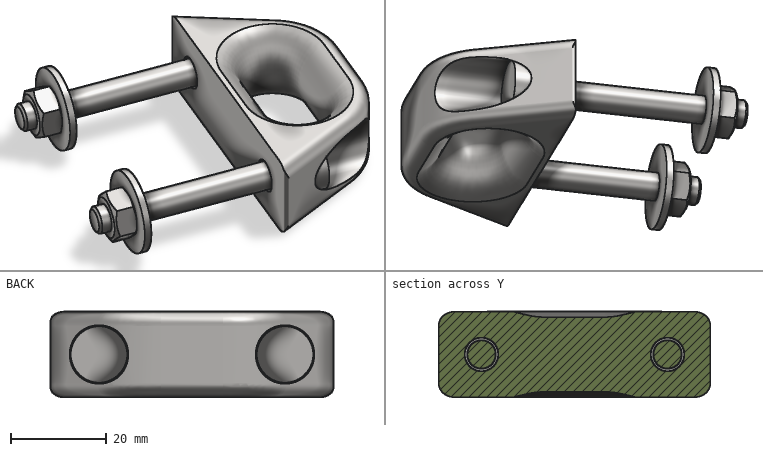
import cadquery as cq
import math

thickness = 18.0
body_height = 28.1
arc_center_x = 6.45
arc_center_y = 13.05
outer_radius = body_height - arc_center_y
flank_lean = math.radians(27.3)
edge_fillet = 3.0
toe_radius = 0.7

throat_radius = 6.05
flare_width = 5.7

bolt_x = 19.5
bolt_diameter = 6.0
bolt_end_y = body_height - 67.2
bolt_end_chamfer = 0.55
bolt_hole_diameter = 7.0
head_diameter = 11.8
head_top_y = 12.1
head_height = 6.0
seat_y = head_top_y - head_height
counterbore_diameter = 12.3

washer_diameter = 18.0
washer_top_y = -30.0
washer_thickness = 1.55
washer_bottom_y = washer_top_y - washer_thickness
nut_height = 4.9
nut_across_flats = 10.0
nut_across_corners = nut_across_flats / math.cos(math.radians(30))
nut_inner_face_diameter = 9.9
nut_outer_face_diameter = 8.9
nut_chamfer_angle = math.radians(30)
left_nut_angle = 35.5
right_nut_angle = 47


def cylinder(x, bottom_y, top_y, diameter):
    """Cylinder along Y, centred on z = 0."""
    base = cq.Workplane("XZ", origin=(x, top_y, 0))
    return base.circle(diameter / 2).extrude(top_y - bottom_y)


def body_prism():
    """Trapezoid with a rounded top; its flanks are tangent to the two arcs."""
    tangent_x = arc_center_x + outer_radius * math.cos(flank_lean)
    tangent_y = arc_center_y + outer_radius * math.sin(flank_lean)
    base_x = tangent_x + tangent_y * math.tan(flank_lean)
    middle_angle = (flank_lean + math.pi / 2) / 2
    middle_x = arc_center_x + outer_radius * math.cos(middle_angle)
    middle_y = arc_center_y + outer_radius * math.sin(middle_angle)
    return (
        cq.Workplane("XY", origin=(0, 0, -thickness / 2))
        .moveTo(-base_x, 0)
        .lineTo(base_x, 0)
        .lineTo(tangent_x, tangent_y)
        .threePointArc((middle_x, middle_y), (arc_center_x, body_height))
        .lineTo(-arc_center_x, body_height)
        .threePointArc((-middle_x, middle_y), (-tangent_x, tangent_y))
        .close()
        .extrude(thickness)
    )


def rounded_body():
    """Body with filleted outer rims, trimmed to rounded base corners."""
    outer_rims = body_prism().faces("|Z").edges("not(<Y)")
    filleted = outer_rims.fillet(edge_fillet)
    rounded_toes = body_prism().faces("<Y").edges("|Z").fillet(toe_radius)
    return filleted.intersect(rounded_toes)


def flare_profile(plane, x):
    """Half section of the eye, from its centre line to the flared wall."""
    half = thickness / 2
    face_radius = throat_radius + flare_width
    return (
        cq.Workplane(plane, origin=(x, arc_center_y, 0))
        .moveTo(0, -half)
        .lineTo(face_radius, -half)
        .threePointArc((throat_radius, 0), (face_radius, half))
        .lineTo(0, half)
        .close()
    )


def eye_cutter():
    """Flared round ends joined by a straight flared stretch."""
    straight_half = flare_profile("YZ", -arc_center_x).extrude(2 * arc_center_x)
    mirrored_half = straight_half.mirror("XZ", (0, arc_center_y, 0))
    cutter = straight_half.union(mirrored_half)
    for x in (-arc_center_x, arc_center_x):
        end = flare_profile("YZ", x).revolve(360, (0, 0, 0), (0, 1, 0))
        cutter = cutter.union(end)
    return cutter


def bolt(x):
    shank = cylinder(x, bolt_end_y, seat_y, bolt_diameter).faces("<Y").chamfer(bolt_end_chamfer)
    return shank.union(cylinder(x, seat_y, head_top_y, head_diameter))


def chamfer_nut_end(blank, end, face_diameter):
    """Conical chamfer leaving a round end face of the given diameter."""
    chamfer_width = (nut_across_corners - face_diameter) / 2
    chamfer_height = chamfer_width * math.tan(nut_chamfer_angle)
    return blank.faces(end).chamfer(chamfer_height, chamfer_width)


def nut(x, corner_angle):
    """Hex nut with conical chamfers on both ends."""
    hexagon = (
        cq.Workplane("XZ", origin=(x, washer_bottom_y, 0))
        .transformed(rotate=(0, 0, corner_angle))
        .polygon(6, nut_across_corners)
        .extrude(nut_height)
    )
    blank = cylinder(x, washer_bottom_y - nut_height, washer_bottom_y, nut_across_corners)
    blank = chamfer_nut_end(blank, ">Y", nut_inner_face_diameter)
    blank = chamfer_nut_end(blank, "<Y", nut_outer_face_diameter)
    return hexagon.intersect(blank)


result = rounded_body().cut(eye_cutter())

for side_x, nut_angle in ((-bolt_x, left_nut_angle), (bolt_x, right_nut_angle)):
    result = result.cut(cylinder(side_x, 0, seat_y, bolt_hole_diameter))
    result = result.cut(cylinder(side_x, seat_y, body_height, counterbore_diameter))
    washer = cylinder(side_x, washer_bottom_y, washer_top_y, washer_diameter)
    result = result.union(bolt(side_x)).union(washer).union(nut(side_x, nut_angle))